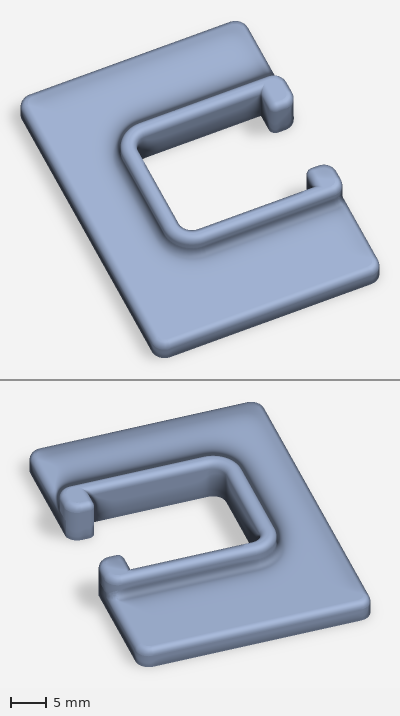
import cadquery as cq

plate_width = 48.5
plate_depth = 35.0
plate_height = 3.0
corner_radius = 2.0
edge_radius = 1.0

rim_top = 6.0
rim_thickness = 2.35
rim_overhang = 0.1
rim_back = plate_depth + rim_overhang

opening_width = 18.0
opening_front = 11.1
left_hook_tip = -5.35
right_hook_tip = 5.8
hook_depth = 4.1

rim_width = opening_width + 2 * rim_thickness
rim_front = opening_front - rim_thickness
hook_front = rim_back - hook_depth
rim_outer_radius = corner_radius + rim_thickness


def block(width, front, back, bottom, top):
    """Box centred on X = 0 between the given Y and Z limits."""
    box = cq.Workplane("XY").box(width, back - front, top - bottom, centered=(True, False, False))
    return box.translate((0, front, bottom))


def make_plate():
    plate = block(plate_width, 0, plate_depth, 0, plate_height)
    return plate.edges("|Z").fillet(corner_radius).faces(">Z").edges().fillet(edge_radius)


def make_opening():
    """Rounded pocket in front of the hooks, running through the full height."""
    pocket = block(opening_width, opening_front, hook_front, 0, rim_top)
    return pocket.edges("|Z and <Y").fillet(corner_radius)


def make_hook_gap():
    """Passage between the hooks, with their tips rounded, out through the back."""
    return (
        cq.Workplane("XY")
        .moveTo(left_hook_tip - edge_radius, hook_front)
        .radiusArc((left_hook_tip, hook_front + edge_radius), -edge_radius)
        .lineTo(left_hook_tip, rim_back - corner_radius)
        .radiusArc((left_hook_tip - corner_radius, rim_back), -corner_radius)
        .lineTo(right_hook_tip + corner_radius, rim_back)
        .radiusArc((right_hook_tip, rim_back - corner_radius), -corner_radius)
        .lineTo(right_hook_tip, hook_front + edge_radius)
        .radiusArc((right_hook_tip + edge_radius, hook_front), -edge_radius)
        .close()
        .extrude(rim_top)
    )


def make_rim_block():
    """Solid rim outline, before the opening is cut."""
    rim = block(rim_width, rim_front, rim_back, 0, rim_top)
    rim = rim.edges("|Z and <Y").fillet(rim_outer_radius)
    return rim.edges("|Z and >Y").fillet(corner_radius)


def make_body():
    """Plate and rim as one solid, with a concave fillet where they meet."""
    body = make_plate().union(make_rim_block())

    seam_clearance = 0.25
    seam_zone = cq.selectors.BoxSelector(
        (-rim_width / 2 - seam_clearance, rim_front - seam_clearance, plate_height - edge_radius + seam_clearance),
        (rim_width / 2 + seam_clearance, plate_depth - seam_clearance, plate_height + seam_clearance),
    )
    body = body.edges(seam_zone).fillet(edge_radius)

    return body.cut(block(plate_width, plate_depth, rim_back, 0, plate_height))


opening = make_opening().union(make_hook_gap())
body = make_body().cut(opening)
result = body.faces(">Z").edges().fillet(edge_radius)